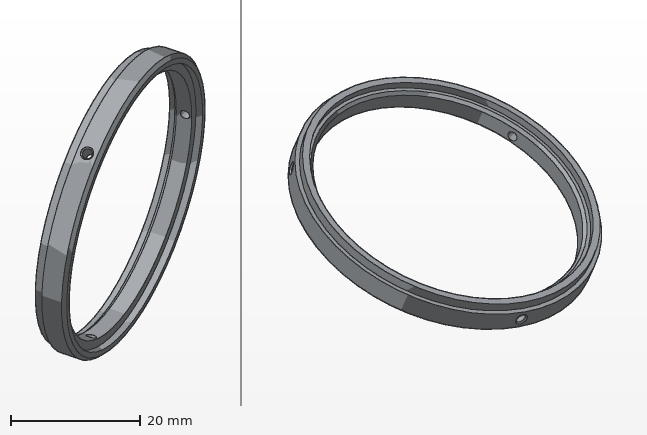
import cadquery as cq

outer_radius = 25.0
width = 5.5
spigot_radius = 24.25
spigot_length = 1.5
rim_chamfer = 0.6

recess_radius = 23.1
recess_depth = 1.2
bore_radius = 22.0
bore_chamfer = 0.5
back_recess_radius = 23.5
back_recess_depth = 1.15

hole_count = 3
hole_x = 3.2
hole_radius = 0.8
hole_mouth_radius = 1.05
first_hole_angle = 0.0


def make_ring():
    """Revolve the ring's (X, radius) section about the X axis."""
    section = [
        (0, recess_radius),
        (0, spigot_radius),
        (spigot_length, spigot_radius),
        (spigot_length, outer_radius),
        (width - rim_chamfer, outer_radius),
        (width, outer_radius - rim_chamfer),
        (width, back_recess_radius),
        (width - back_recess_depth, back_recess_radius),
        (width - back_recess_depth, bore_radius),
        (recess_depth + bore_chamfer, bore_radius),
        (recess_depth, bore_radius + bore_chamfer),
        (recess_depth, recess_radius),
    ]
    return cq.Workplane("XY").polyline(section).close().revolve(360, (0, 0, 0), (1, 0, 0))


def make_hole_cutter(angle):
    """Radial drill with a 45 degree countersink, turned about X from the +Y direction."""
    countersink_depth = hole_mouth_radius - hole_radius
    cutter_end = outer_radius + countersink_depth
    drill_start = bore_radius - bore_chamfer
    half_section = [
        (hole_x, drill_start),
        (hole_x + hole_radius, drill_start),
        (hole_x + hole_radius, outer_radius - countersink_depth),
        (hole_x + hole_mouth_radius, outer_radius),
        (hole_x + hole_mouth_radius, cutter_end),
        (hole_x, cutter_end),
    ]
    profile = cq.Workplane("XY").polyline(half_section).close()
    cutter = profile.revolve(360, (hole_x, 0, 0), (hole_x, 1, 0))
    return cutter.rotate((0, 0, 0), (1, 0, 0), angle)


result = make_ring()
for index in range(hole_count):
    hole_angle = first_hole_angle + index * 360 / hole_count
    result = result.cut(make_hole_cutter(hole_angle))